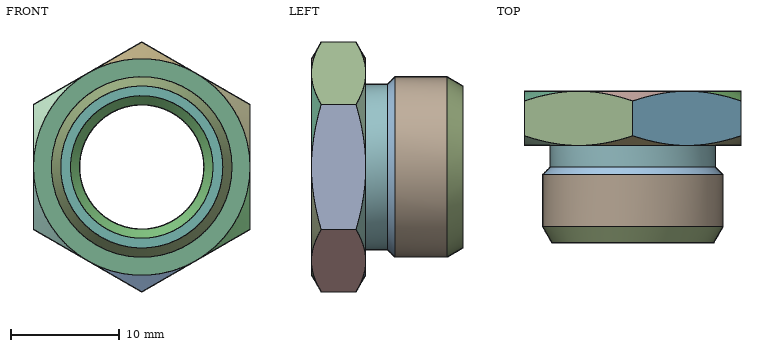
import cadquery as cq
import math

across_corners = 23.1
across_flats = across_corners * math.cos(math.radians(30))
head_thickness = 5.0
head_chamfer_angle = 30.0

total_length = 14.0
thread_diameter = 16.67
undercut_diameter = 15.3
undercut_length = 2.0
tip_chamfer_radial = 0.85
tip_chamfer_length = tip_chamfer_radial * math.tan(math.radians(60))

bore_diameter = 11.45
bore_mouth_diameter = 13.15
bore_chamfer_length = (bore_mouth_diameter - bore_diameter) / 2


def revolve_about_y(points):
    """Revolve a closed (radius, y) outline about the part's axis."""
    return cq.Workplane("XY").polyline(points).close().revolve(360, (0, 0, 0), (0, 1, 0))


def make_head():
    """Hexagonal prism from y = 0 to the head's rear face, corners turned down at both ends."""
    hexagon = (
        cq.Workplane("XZ")
        .polygon(6, across_corners)
        .extrude(-head_thickness)
        .rotate((0, 0, 0), (0, 1, 0), 90)
    )
    face_radius = across_flats / 2
    corner_radius = across_corners / 2
    envelope_radius = corner_radius + 0.46
    drop = (envelope_radius - face_radius) * math.tan(math.radians(head_chamfer_angle))
    envelope = revolve_about_y([
        (0, 0),
        (face_radius, 0),
        (envelope_radius, drop),
        (envelope_radius, head_thickness - drop),
        (face_radius, head_thickness),
        (0, head_thickness),
    ])
    return hexagon.intersect(envelope)


def make_shank():
    """Undercut, 45 degree shoulder, thread cylinder and tapered tip."""
    thread_radius = thread_diameter / 2
    undercut_radius = undercut_diameter / 2
    shoulder_length = thread_radius - undercut_radius
    tip_y = head_thickness - total_length
    overlap = head_thickness / 2
    return revolve_about_y([
        (0, overlap),
        (undercut_radius, overlap),
        (undercut_radius, -undercut_length),
        (thread_radius, -undercut_length - shoulder_length),
        (thread_radius, tip_y + tip_chamfer_length),
        (thread_radius - tip_chamfer_radial, tip_y),
        (0, tip_y),
    ])


def make_bore():
    """Through hole with a 45 degree countersink at the threaded end."""
    tip_y = head_thickness - total_length
    return revolve_about_y([
        (0, tip_y),
        (bore_mouth_diameter / 2, tip_y),
        (bore_diameter / 2, tip_y + bore_chamfer_length),
        (bore_diameter / 2, head_thickness),
        (0, head_thickness),
    ])


result = make_head().union(make_shank()).cut(make_bore())